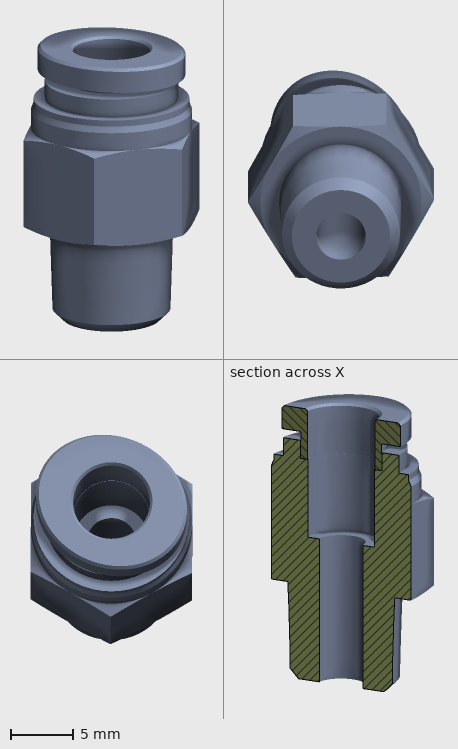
import cadquery as cq
import math

tip_chamfer_height = 0.8
hex_bottom = 8.0
hex_top = 16.0
rim_bottom = 17.5
rim_top = 18.0
shoulder_top = 18.5
collar_top = 20.0
button_bottom = 20.7
total_height = 22.7
bore_floor = (hex_bottom + hex_top) / 2

thread_tip_diameter = 9.5
thread_taper = 1 / 16
thread_top_diameter = thread_tip_diameter + thread_taper * (hex_bottom - tip_chamfer_height)
hex_across_flats = 13.0
hex_across_corners = hex_across_flats / math.cos(math.radians(30))
hex_chamfer_angle = 20.0
rim_diameter = hex_across_flats
shoulder_diameter = 12.55
collar_diameter = 10.75
tube_bore_diameter = 6.15
through_hole_diameter = 4.0

button_length = 12.55
button_width = 10.99
button_chamfer = 0.23
neck_diameter = 7.5
neck_flare = 0.1
sleeve_bottom = shoulder_top
sleeve_bore_diameter = 6.2
bore_chamfer = 0.2


def cylinder(diameter, bottom, top):
    return cq.Workplane("XY").workplane(offset=bottom).circle(diameter / 2).extrude(top - bottom)


def revolved(profile):
    """Turn a closed (radius, height) outline about the Z axis."""
    return cq.Workplane("XZ").polyline(profile).close().revolve(360, (0, 0, 0), (0, 1, 0))


def make_hexagon():
    """Hexagonal wrench section with its corners turned off at both ends."""
    prism = (
        cq.Workplane("XY")
        .workplane(offset=hex_bottom)
        .polygon(6, hex_across_corners)
        .extrude(hex_top - hex_bottom)
    )
    flat_radius = hex_across_flats / 2
    corner_radius = hex_across_corners / 2
    corner_drop = (corner_radius - flat_radius) * math.tan(math.radians(hex_chamfer_angle))
    chamfer_envelope = revolved([
        (0, hex_bottom),
        (flat_radius, hex_bottom),
        (corner_radius, hex_bottom + corner_drop),
        (corner_radius, hex_top - corner_drop),
        (flat_radius, hex_top),
        (0, hex_top),
    ])
    return prism.intersect(chamfer_envelope)


def make_thread():
    """Tapered thread envelope with a 45 degree chamfer at the tip."""
    tip_radius = thread_tip_diameter / 2
    return revolved([
        (0, 0),
        (tip_radius - tip_chamfer_height, 0),
        (tip_radius, tip_chamfer_height),
        (thread_top_diameter / 2, hex_bottom),
        (0, hex_bottom),
    ])


def make_head():
    """Round head above the hexagon: bevelled rim, shoulder and collar."""
    return revolved([
        (0, hex_top),
        (rim_diameter / 2, hex_top),
        (rim_diameter / 2, rim_bottom),
        (shoulder_diameter / 2, rim_top),
        (shoulder_diameter / 2, shoulder_top),
        (collar_diameter / 2, shoulder_top),
        (collar_diameter / 2, collar_top),
        (0, collar_top),
    ])


def make_body():
    through_hole = cylinder(through_hole_diameter, 0, total_height)
    tube_bore = cylinder(tube_bore_diameter, bore_floor, total_height)
    sleeve_seat = cylinder(neck_diameter, sleeve_bottom, total_height)
    outside = make_thread().union(make_hexagon()).union(make_head())
    return outside.cut(through_hole).cut(tube_bore).cut(sleeve_seat)


def make_sleeve():
    """Release sleeve: oval push button on a round neck, bored for the tube."""
    button = (
        cq.Workplane("XY")
        .workplane(offset=button_bottom)
        .ellipse(button_length / 2, button_width / 2)
        .extrude(total_height - button_bottom)
        .faces(">Z")
        .chamfer(button_chamfer)
    )
    neck_radius = neck_diameter / 2
    neck = revolved([
        (0, sleeve_bottom),
        (neck_radius, sleeve_bottom),
        (neck_radius, button_bottom - neck_flare),
        (neck_radius + neck_flare, button_bottom),
        (0, button_bottom),
    ])
    bore_radius = sleeve_bore_diameter / 2
    bore = revolved([
        (0, sleeve_bottom),
        (bore_radius, sleeve_bottom),
        (bore_radius, total_height - bore_chamfer),
        (bore_radius + bore_chamfer, total_height),
        (0, total_height),
    ])
    return button.union(neck).cut(bore)


body = make_body()
sleeve = make_sleeve()

result = cq.Compound.makeCompound([body.val(), sleeve.val()])